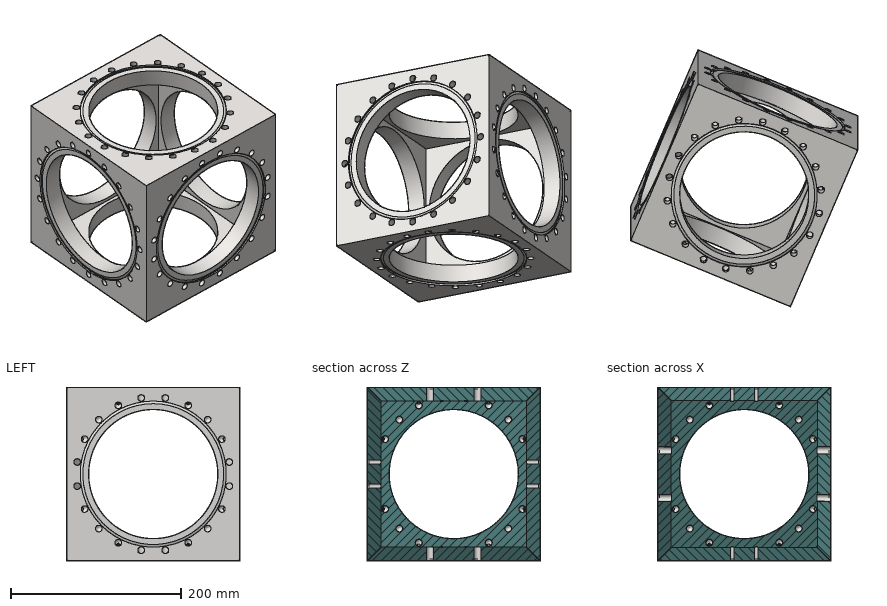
import cadquery as cq
import math


cube_side = 203.8
plate_thickness = 22.0
half_side = cube_side / 2
mitre_angle = 45.0

bore_radius = 75.8
knife_radius = 82.7
groove_radius = 85.8
seat_depth = 1.0
knife_slope = 20.0
groove_depth = seat_depth + (groove_radius - knife_radius) * math.tan(math.radians(knife_slope))

bolt_count = 20
bolt_pitch = 360.0 / bolt_count
bolt_circle_radius = 90.5
bolt_hole_radius = 3.9
bolt_hole_depth = 18.3
drill_half_angle = 59.0
drill_point_depth = bolt_hole_radius / math.tan(math.radians(drill_half_angle))


def make_blank():
    """Square plate with its outer face on Z = 0 and mitred sides narrowing inwards."""
    return cq.Workplane("XY").rect(cube_side, cube_side).extrude(-plate_thickness, taper=mitre_angle)


def make_bore_cutter():
    """Revolved bore with the seat, the sloping knife edge and the groove wall."""
    return (
        cq.Workplane("XZ")
        .moveTo(0, 0)
        .lineTo(groove_radius, 0)
        .lineTo(groove_radius, -groove_depth)
        .lineTo(knife_radius, -seat_depth)
        .lineTo(bore_radius, -seat_depth)
        .lineTo(bore_radius, -plate_thickness)
        .lineTo(0, -plate_thickness)
        .close()
        .revolve(360, (0, 0, 0), (0, 1, 0))
    )


def make_bolt_hole_cutters(first_angle):
    """Ring of drilled holes with conical bottoms, the first one at first_angle from local X."""
    drill = (
        cq.Workplane("XZ")
        .moveTo(0, 0)
        .lineTo(bolt_hole_radius, 0)
        .lineTo(bolt_hole_radius, -bolt_hole_depth)
        .lineTo(0, -bolt_hole_depth - drill_point_depth)
        .close()
        .revolve(360, (0, 0, 0), (0, 1, 0))
        .val()
    )
    return (
        cq.Workplane("XY")
        .polarArray(bolt_circle_radius, first_angle, 360, bolt_count)
        .eachpoint(lambda place: drill.moved(place))
    )


def make_plate(first_angle):
    """Flange plate facing +Z at the top of the cube."""
    plate = make_blank().cut(make_bore_cutter()).cut(make_bolt_hole_cutters(first_angle))
    return plate.translate((0, 0, half_side))


on_axis = 0.0
between_holes = bolt_pitch / 2
x_axis = (1, 0, 0)
y_axis = (0, 1, 0)
sides = [
    (x_axis, 0, between_holes),
    (x_axis, 180, between_holes),
    (x_axis, 90, on_axis),
    (x_axis, -90, on_axis),
    (y_axis, 90, between_holes),
    (y_axis, -90, between_holes),
]

plates = []
for axis, turn, first_angle in sides:
    plate = make_plate(first_angle).rotate((0, 0, 0), axis, turn)
    plates.append(plate.val())

result = cq.Compound.makeCompound(plates)